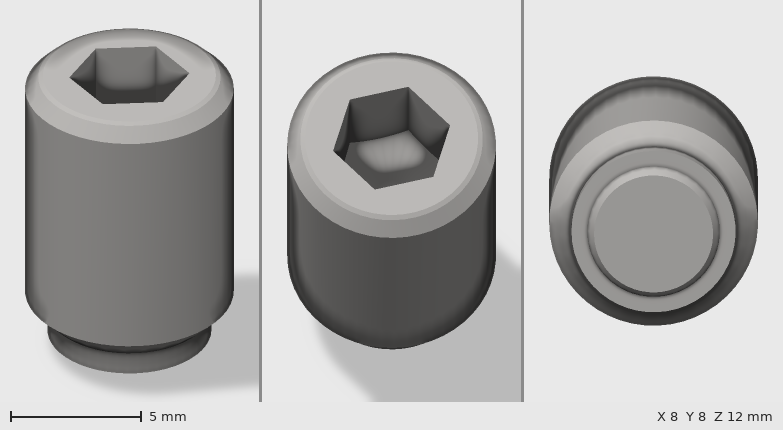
import cadquery as cq
import math

total_height = 12.0
body_diameter = total_height * 2 / 3
body_radius = body_diameter / 2

nose_face_z = 0.48
nose_height = 0.91
nose_radius = 3.15
nose_top_z = nose_face_z + nose_height
lower_chamfer = body_radius - nose_radius

head_chamfer = 0.5
bevel_height = 0.08
bevel_width = 0.18
bevel_outer_radius = body_radius - head_chamfer
bevel_inner_radius = bevel_outer_radius - bevel_width
bevel_base_z = total_height - bevel_height

hex_across_flats = body_diameter / 2
hex_across_corners = hex_across_flats * 2 / math.sqrt(3)
hex_depth = 3.6
drill_point_angle = 120.0
hex_corner_radius = hex_across_corners / 2
drill_point_depth = hex_corner_radius / math.tan(math.radians(drill_point_angle / 2))

ball_radius = 2.75
ball_flat_radius = 2.28
ball_center_z = math.sqrt(ball_radius**2 - ball_flat_radius**2)


def make_ball():
    """Thrust ball, cut flat at Z = 0."""
    sphere = cq.Workplane("XY").sphere(ball_radius).translate((0, 0, ball_center_z))
    ball_top_z = ball_center_z + ball_radius
    above_flat = cq.Workplane("XY").circle(body_radius).extrude(ball_top_z)
    return sphere.intersect(above_flat)


def make_hex_socket():
    """Hexagonal void whose floor is the drill cone passing through its corners."""
    corner_z = total_height - hex_depth
    apex_z = corner_z - drill_point_depth
    hexagon = (
        cq.Workplane("XY")
        .workplane(offset=apex_z)
        .polygon(6, hex_across_corners)
        .extrude(total_height - apex_z)
    )
    drilled_hole = (
        cq.Workplane("XZ")
        .moveTo(0, apex_z)
        .lineTo(hex_corner_radius, corner_z)
        .lineTo(hex_corner_radius, total_height)
        .lineTo(0, total_height)
        .close()
        .revolve(360, (0, 0, 0), (0, 1, 0))
    )
    return hexagon.intersect(drilled_hole)


def make_screw(ball):
    """Turned screw body with the hexagon socket and the matching ball seat."""
    blank = (
        cq.Workplane("XZ")
        .moveTo(0, nose_face_z)
        .lineTo(nose_radius, nose_face_z)
        .lineTo(nose_radius, nose_top_z)
        .lineTo(body_radius, nose_top_z + lower_chamfer)
        .lineTo(body_radius, bevel_base_z - head_chamfer)
        .lineTo(bevel_outer_radius, bevel_base_z)
        .lineTo(bevel_inner_radius, total_height)
        .lineTo(0, total_height)
        .close()
        .revolve(360, (0, 0, 0), (0, 1, 0))
    )
    return blank.cut(make_hex_socket()).cut(ball)


ball = make_ball().solids()
screw = make_screw(ball).solids()

result = cq.Compound.makeCompound([screw.val(), ball.val()])